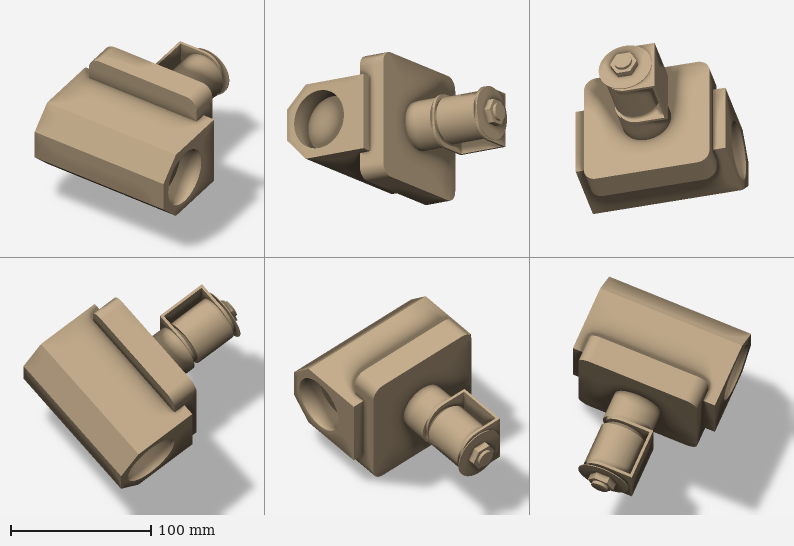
import cadquery as cq

block_length = 110.0
block_height = 55.0
block_depth = 65.4
front_chamfer = 16.0
port_diameter = 42.6
port_depth = 18.0
port_y = 27.4

flange_side = 92.0
flange_thickness = 20.1
flange_back = 76.5
flange_corner_radius = 9.0

stem_radius = 18.0
neck_radius = 14.5
coil_radius = 17.0
washer_radius = 19.4
stud_radius = 6.3
coil_start = 102.5
washer_thickness = 0.6
washer_end = 138.6
nut_end = 143.5
stud_end = 145.9
nut_across_flats = 17.0

bracket_start = 97.6
bracket_end = 136.3
bracket_sheet = 2.0
bracket_height = 39.4
bracket_left = -21.2
bracket_right = 15.0
arm_corner_radius = 15.0
coil_end = bracket_end - bracket_sheet


def along_y(start):
    """Workplane with local X = X and local Y = -Z, extruding toward +Y."""
    return cq.Workplane(cq.Plane((0, start, 0), (1, 0, 0), (0, 1, 0)))


def cylinder(radius, start, end):
    return along_y(start).circle(radius).extrude(end - start)


def make_block():
    bar = (
        cq.Workplane("XY")
        .box(block_length, block_depth, block_height, centered=(True, False, True))
        .edges("|X and <Y")
        .chamfer(front_chamfer)
    )
    flange = (
        along_y(flange_back - flange_thickness)
        .rect(flange_side, flange_side)
        .extrude(flange_thickness)
        .edges("|Y")
        .fillet(flange_corner_radius)
    )
    body = bar.union(flange)
    for port_start in (-block_length / 2, block_length / 2 - port_depth):
        port = (
            cq.Workplane("YZ", origin=(port_start, port_y, 0))
            .circle(port_diameter / 2)
            .extrude(port_depth)
        )
        body = body.cut(port)
    return body


def make_nut():
    """Hexagon nut with two opposite corners on the X axis."""
    return (
        along_y(washer_end)
        .polygon(6, nut_across_flats, circumscribed=True)
        .extrude(nut_end - washer_end)
        .rotate((0, 0, 0), (0, 1, 0), 30)
    )


def make_valve():
    """Block, stem, coil, washer, nut and stud end as one solid."""
    return (
        make_block()
        .union(cylinder(stem_radius, flange_back, bracket_start))
        .union(cylinder(neck_radius, bracket_start, washer_end - washer_thickness))
        .union(cylinder(coil_radius, coil_start, coil_end))
        .union(cylinder(washer_radius, washer_end - washer_thickness, washer_end))
        .union(make_nut())
        .union(cylinder(stud_radius, washer_end, stud_end))
    )


def make_arm(start):
    """Flat arm with two rounded free corners and a hole for the neck."""
    return (
        cq.Workplane("XY")
        .box(bracket_right - bracket_left, bracket_sheet, bracket_height, centered=(False, False, True))
        .translate((bracket_left, start, 0))
        .edges("|Y and >X")
        .fillet(arm_corner_radius)
        .cut(cylinder(neck_radius, start, start + bracket_sheet))
    )


def make_bracket():
    web = (
        cq.Workplane("XY")
        .box(bracket_sheet, bracket_end - bracket_start, bracket_height, centered=(False, False, True))
        .translate((bracket_left, bracket_start, 0))
    )
    return web.union(make_arm(bracket_start)).union(make_arm(coil_end))


valve = make_valve()
bracket = make_bracket()
result = cq.Compound.makeCompound([valve.val(), bracket.val()])